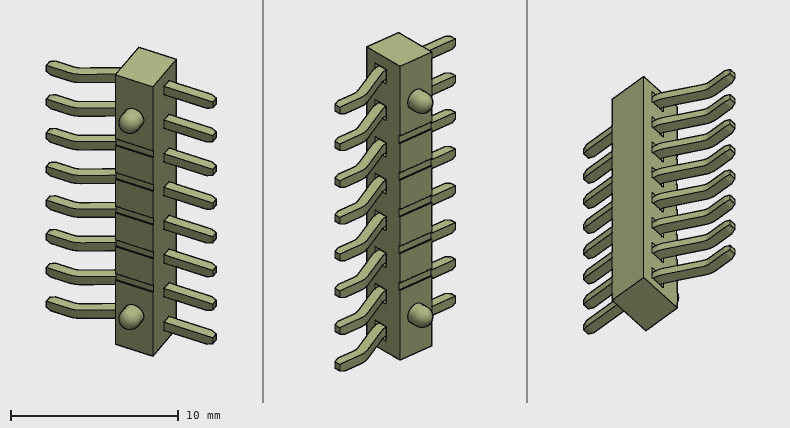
import cadquery as cq
import math


pin_count = 8
pitch = 2.55

housing_width = 2.52
housing_depth = 3.0
housing_height = pin_count * pitch
front_y = -housing_depth / 2
left_x = -housing_width / 2

peg_length = 1.2
peg_radius = 0.65
peg_offset = 7.4

groove_count = 5
groove_width = 0.5
groove_depth = 0.08

pin_size = 0.63
pin_y = 0.25
foot_end_x = -5.93
tail_end_x = 4.47
tip_length = 0.35
tip_end_size = 0.45
tip_taper = math.degrees(math.atan((pin_size - tip_end_size) / 2 / tip_length))

pocket_size = 1.0
pocket_taper = 45
pocket_depth = (pocket_size - pin_size) / 2 / math.tan(math.radians(pocket_taper))

foot_y = front_y + pin_size / 2
bend_angle = math.radians(28)
bend_radius = 1.2
bend_run = bend_radius * math.sin(bend_angle)
bend_rise = bend_radius * (1 - math.cos(bend_angle))
half_bend_run = bend_radius * math.sin(bend_angle / 2)
half_bend_rise = bend_radius * (1 - math.cos(bend_angle / 2))
slope_rise = pin_y - foot_y - 2 * bend_rise
slope_run = slope_rise / math.tan(bend_angle)
upper_bend_x = left_x + pocket_depth
lower_bend_x = upper_bend_x - slope_run - 2 * bend_run


def centred_places(count):
    """Z places of `count` features, one pitch apart and centred on the housing."""
    return [(i - (count - 1) / 2) * pitch for i in range(count)]


def square_bar(start_x, y, z, size, length, taper=0):
    """Square bar along X from start_x, narrowing by `taper` degrees; negative length runs to -X."""
    plane = cq.Plane(origin=(start_x, y, z), xDir=(0, 1, 0), normal=(math.copysign(1, length), 0, 0))
    return cq.Workplane(plane).rect(size, size).extrude(abs(length), taper=taper)


def make_peg(z):
    """Round-ended peg, standing out from the mounting face toward -Y."""
    dome_y = front_y - peg_length + peg_radius
    plane = cq.Plane(origin=(0, front_y, z), xDir=(1, 0, 0), normal=(0, -1, 0))
    shank = cq.Workplane(plane).circle(peg_radius).extrude(front_y - dome_y)
    dome = (
        cq.Workplane("XY", origin=(0, dome_y, z))
        .lineTo(peg_radius, 0)
        .radiusArc((0, -peg_radius), peg_radius)
        .close()
        .revolve(360, (0, 0), (0, 1))
    )
    return shank.union(dome)


def make_housing():
    body = cq.Workplane("XY").box(housing_width, housing_depth, housing_height)
    for z in centred_places(groove_count):
        groove = cq.Workplane("XY").box(housing_width, 2 * groove_depth, groove_width)
        body = body.cut(groove.translate((0, front_y, z)))
    for z in centred_places(pin_count):
        hole = square_bar(left_x, pin_y, z, pin_size, housing_width)
        pocket = square_bar(left_x, pin_y, z, pocket_size, pocket_depth, pocket_taper)
        body = body.cut(hole).cut(pocket)
    for z in (-peg_offset, peg_offset):
        body = body.union(make_peg(z))
    return body


def make_pin(z):
    """Square pin: foot, two opposite bends and a straight tail, with a tapered tip at each end."""
    foot_start_x = foot_end_x + tip_length
    tail_stop_x = tail_end_x - tip_length
    path = (
        cq.Workplane("XY", origin=(0, 0, z))
        .moveTo(foot_start_x, foot_y)
        .lineTo(lower_bend_x, foot_y)
        .threePointArc(
            (lower_bend_x + half_bend_run, foot_y + half_bend_rise),
            (lower_bend_x + bend_run, foot_y + bend_rise),
        )
        .line(slope_run, slope_rise)
        .threePointArc(
            (upper_bend_x - half_bend_run, pin_y - half_bend_rise),
            (upper_bend_x, pin_y),
        )
        .lineTo(tail_stop_x, pin_y)
    )
    shaft = cq.Workplane("YZ", origin=(foot_start_x, foot_y, z)).rect(pin_size, pin_size).sweep(path)
    foot_tip = square_bar(foot_start_x, foot_y, z, pin_size, -tip_length, tip_taper)
    tail_tip = square_bar(tail_stop_x, pin_y, z, pin_size, tip_length, tip_taper)
    return shaft.union(foot_tip).union(tail_tip)


housing = make_housing()
pins = [make_pin(z) for z in centred_places(pin_count)]

result = cq.Compound.makeCompound([housing.solids().val(), *[pin.solids().val() for pin in pins]])